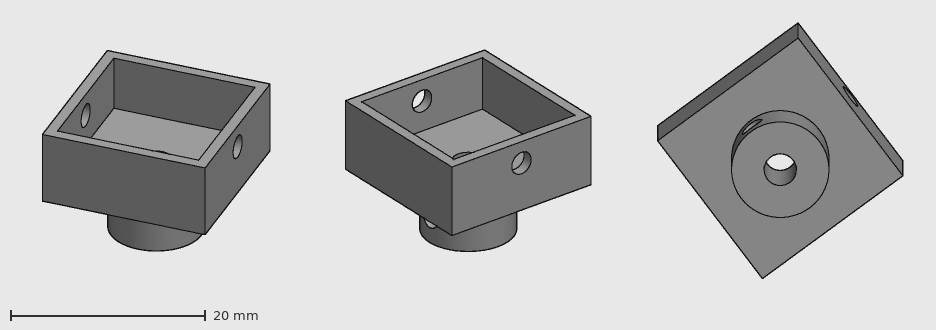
import cadquery as cq

cup_side = 18.0
wall = 1.2
base_thickness = 2.0
wall_height = 6.0
cup_height = base_thickness + wall_height

stem_diameter = 10.0
stem_height = 6.0
total_height = stem_height + cup_height

bore_diameter = 3.3
pin_hole_diameter = 2.5
pin_hole_drop = 2.5
set_screw_diameter = 2.5
set_screw_height = stem_height / 2


def make_stem():
    return cq.Workplane("XY").circle(stem_diameter / 2).extrude(stem_height)


def make_cup():
    """Open square box standing on top of the stem."""
    pocket_side = cup_side - 2 * wall
    cup = cq.Workplane("XY").workplane(offset=stem_height).rect(cup_side, cup_side).extrude(cup_height)
    pocket = (
        cq.Workplane("XY")
        .workplane(offset=stem_height + base_thickness)
        .rect(pocket_side, pocket_side)
        .extrude(wall_height)
    )
    return cup.cut(pocket)


def make_bore():
    """Vertical hole through the stem and the cup floor."""
    return cq.Workplane("XY").circle(bore_diameter / 2).extrude(total_height)


def make_pin_hole():
    """Cross hole along X through both opposite cup walls."""
    return (
        cq.Workplane("YZ")
        .center(0, total_height - pin_hole_drop)
        .circle(pin_hole_diameter / 2)
        .extrude(cup_side / 2, both=True)
    )


def make_set_screw_hole():
    """Radial hole from the +Y side of the stem into the central bore."""
    return (
        cq.Workplane("XZ")
        .center(0, set_screw_height)
        .circle(set_screw_diameter / 2)
        .extrude(-stem_diameter / 2)
    )


result = (
    make_stem()
    .union(make_cup())
    .cut(make_bore())
    .cut(make_pin_hole())
    .cut(make_set_screw_hole())
)